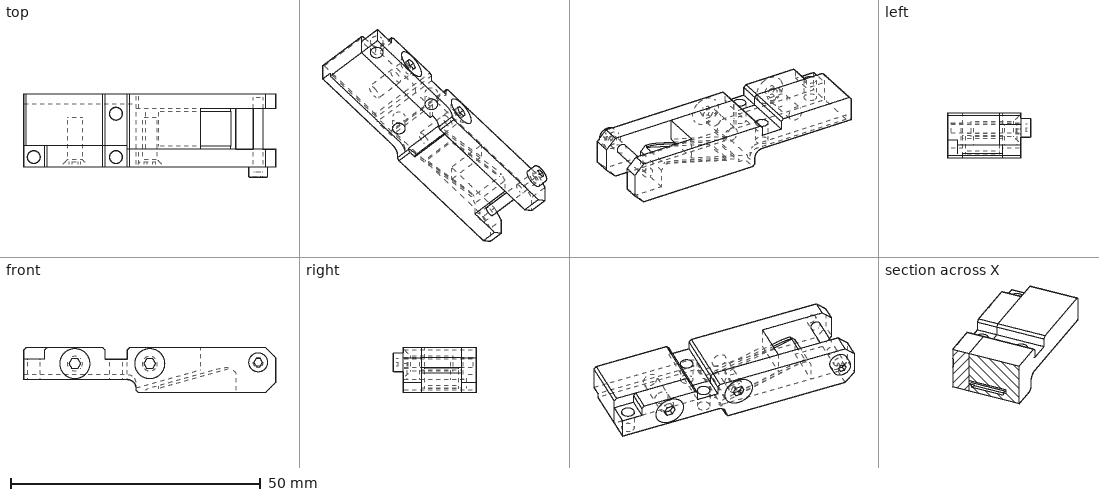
import cadquery as cq
import math

length = 50.5
width = 14.7
height = 9.05

nose_bottom = 2.6
edge_chamfer = 0.5
tail_chamfer = 2.05
slot_start = 16.3
slot_end = 20.7
step_floor = 6.7
shoulder = 22.45
shoulder_radius = 1.65
corner_step_length = 4.2

nose_split = 4.3
tail_split = 3.65

relief_width = 2.0
relief_top = 3.6

fork_start = 35.45
arm_inner = 11.7

lead_end = 25.0
wedge_end = 42.5
wedge_top = 5.05
wedge_lip = 0.5
lead_angle = math.radians(30)
ramp_angle = math.radians(15.6)
crown_radius = 10.0
wedge_chamfer = 1.1
seat_depth = 0.55
rail_width = 0.6
passage_mouth = nose_bottom - shoulder_radius

mount_diameter = 2.5
mount_x = 18.5
mount_y = 2.0
corner_hole_x = 2.0
rear_mount_y = 10.7

flat_head_diameter = 6.0
flat_shank_diameter = 3.0
flat_screw_length = 10.0
flat_hex = 2.0
flat_hex_depth = 1.0
flat_screw_xs = (10.25, 25.25)
flat_screw_z = 5.8

cap_head_diameter = 3.8
cap_head_height = 2.0
cap_head_fillet = 0.2
cap_shank_diameter = 2.0
cap_shank_length = 14.0
cap_hex = 1.45
cap_hex_depth = 1.0
cap_screw_x = 46.95
cap_screw_z = 6.05

overcut = 0.5


def box(x_range, y_range, z_range):
    """Block between the given limits."""
    size = [end - start for start, end in (x_range, y_range, z_range)]
    corner = (x_range[0], y_range[0], z_range[0])
    return cq.Workplane("XY").box(*size, centered=False).translate(corner)


def across(outline, y_start, y_end):
    """Extrude an XZ outline from y_start to y_end."""
    return outline.extrude(-(y_end - y_start)).translate((0, y_start, 0))


def shoulder_curve(sketch, ceiling):
    """Continue along the underside at the ceiling height and round down into the shoulder."""
    centre_x = shoulder - shoulder_radius
    centre_z = ceiling - shoulder_radius
    reach = shoulder_radius * math.cos(math.radians(45))
    return (
        sketch.lineTo(centre_x, ceiling)
        .threePointArc((centre_x + reach, centre_z + reach), (shoulder, centre_z))
    )


def side_profile():
    """Outline of the whole assembly seen along Y."""
    c = edge_chamfer
    sketch = shoulder_curve(cq.Workplane("XZ").moveTo(0, nose_bottom), nose_bottom)
    return (
        sketch.lineTo(shoulder, c)
        .lineTo(shoulder + c, 0)
        .lineTo(length - tail_chamfer, 0)
        .lineTo(length, tail_chamfer)
        .lineTo(length, height - tail_chamfer)
        .lineTo(length - tail_chamfer, height)
        .lineTo(slot_end + c, height)
        .lineTo(slot_end, height - c)
        .lineTo(slot_end, step_floor)
        .lineTo(slot_start, step_floor)
        .lineTo(slot_start, height - c)
        .lineTo(slot_start - c, height)
        .lineTo(c, height)
        .lineTo(0, height - c)
        .close()
    )


def plate_zone():
    """Space in front of the split: thicker along the nose than along the tail."""
    nose = box((-overcut, slot_end), (-overcut, nose_split), (-overcut, height + overcut))
    tail = box((slot_end, length + overcut), (-overcut, tail_split), (-overcut, height + overcut))
    return nose.union(tail)


def mount_hole(x, y):
    """Cutter for one vertical through hole."""
    return cq.Workplane("XY").center(x, y).circle(mount_diameter / 2).extrude(height)


def hex_socket(across_flats, depth):
    """Cutter for a hexagon socket sunk in +Y from the XZ plane."""
    across_corners = across_flats / math.cos(math.radians(30))
    return cq.Workplane("XZ").polygon(6, across_corners).extrude(-depth)


def flat_screw_blank(x):
    """Countersunk screw without its socket, head flush with the front face."""
    head_radius = flat_head_diameter / 2
    shank_radius = flat_shank_diameter / 2
    return (
        cq.Workplane("XY")
        .polyline([
            (0, 0),
            (head_radius, 0),
            (shank_radius, head_radius - shank_radius),
            (shank_radius, flat_screw_length),
            (0, flat_screw_length),
        ])
        .close()
        .revolve(360, (0, 0), (0, 1))
        .translate((x, 0, flat_screw_z))
    )


def flat_screw(x):
    socket = hex_socket(flat_hex, flat_hex_depth).translate((x, 0, flat_screw_z))
    return flat_screw_blank(x).cut(socket)


def cap_shank():
    return (
        cq.Workplane("XZ")
        .center(cap_screw_x, cap_screw_z)
        .circle(cap_shank_diameter / 2)
        .extrude(-cap_shank_length)
    )


def cap_screw():
    head = (
        cq.Workplane("XZ")
        .center(cap_screw_x, cap_screw_z)
        .circle(cap_head_diameter / 2)
        .extrude(cap_head_height)
        .faces("<Y").edges().fillet(cap_head_fillet)
    )
    socket = hex_socket(cap_hex, cap_hex_depth).translate((cap_screw_x, -cap_head_height, cap_screw_z))
    return head.cut(socket).union(cap_shank())


def cut_screw_holes(body):
    """Remove the space taken up by every screw."""
    for x in flat_screw_xs:
        body = body.cut(flat_screw_blank(x))
    return body.cut(cap_shank())


def front_plate():
    plate = across(side_profile(), 0, width).intersect(plate_zone())
    notch = box((-overcut, corner_step_length), (-overcut, nose_split), (step_floor, height + overcut))
    plate = plate.cut(notch)
    bevel = (
        cq.Workplane("XZ")
        .moveTo(corner_step_length, height - edge_chamfer)
        .lineTo(corner_step_length + edge_chamfer, height)
        .lineTo(corner_step_length, height)
        .close()
    )
    plate = plate.cut(across(bevel, 0, nose_split))
    for x in (corner_hole_x, mount_x):
        plate = plate.cut(mount_hole(x, mount_y))
    return cut_screw_holes(plate)


def guide_wedge():
    """Ramp that climbs in +X, rounds over to a level crown and ends in a chamfer."""
    slope = math.tan(ramp_angle)
    crown_end = wedge_end - wedge_chamfer
    crown_start = crown_end - crown_radius * math.sin(ramp_angle)
    crown_start_z = wedge_top - crown_radius * (1 - math.cos(ramp_angle))
    ramp_start_z = crown_start_z - slope * (crown_start - lead_end)
    wedge_start = lead_end - (ramp_start_z - wedge_lip) / math.tan(lead_angle)
    crown_mid = (
        crown_end - crown_radius * math.sin(ramp_angle / 2),
        wedge_top - crown_radius * (1 - math.cos(ramp_angle / 2)),
    )
    outline = (
        cq.Workplane("XZ")
        .moveTo(wedge_start, 0)
        .lineTo(wedge_start, wedge_lip)
        .lineTo(lead_end, ramp_start_z)
        .lineTo(crown_start, crown_start_z)
        .threePointArc(crown_mid, (crown_end, wedge_top))
        .lineTo(wedge_end, wedge_top - wedge_chamfer)
        .lineTo(wedge_end, 0)
        .close()
    )
    wedge = across(outline, tail_split, arm_inner)

    seat_start = lead_end + seat_depth / slope
    seat_end_z = ramp_start_z + slope * (wedge_end - seat_start)
    seat = (
        cq.Workplane("XZ")
        .moveTo(seat_start, ramp_start_z)
        .lineTo(wedge_end, seat_end_z)
        .lineTo(seat_start, seat_end_z)
        .close()
    )
    return wedge.cut(across(seat, tail_split + rail_width, arm_inner - rail_width))


def rear_body():
    body = across(side_profile(), 0, width).cut(plate_zone())

    relief = shoulder_curve(cq.Workplane("XZ").moveTo(0, relief_top), relief_top)
    relief = relief.lineTo(shoulder, edge_chamfer).lineTo(0, edge_chamfer).close()
    body = body.cut(across(relief, width - relief_width, width))

    rise = math.tan(ramp_angle) * (fork_start - shoulder)
    opening = (
        cq.Workplane("XZ")
        .moveTo(shoulder, 0)
        .lineTo(shoulder, passage_mouth)
        .lineTo(fork_start, passage_mouth + rise)
        .lineTo(fork_start, height)
        .lineTo(length, height)
        .lineTo(length, 0)
        .close()
    )
    body = body.cut(across(opening, tail_split, arm_inner)).union(guide_wedge())
    return cut_screw_holes(body.cut(mount_hole(mount_x, rear_mount_y)))


plate = front_plate()
body = rear_body()
flat_screws = [flat_screw(x) for x in flat_screw_xs]
cross_screw = cap_screw()

result = cq.Compound.makeCompound([
    plate.val(),
    body.val(),
    *[screw.val() for screw in flat_screws],
    cross_screw.val(),
])